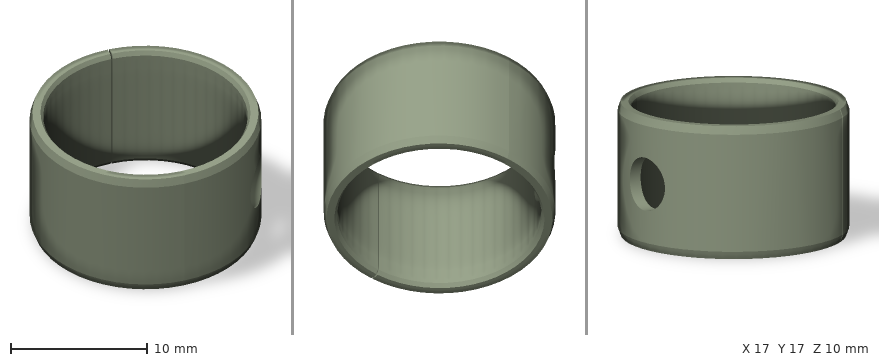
import cadquery as cq
import math

outer_diameter = 17.0
inner_diameter = 15.0
height = 10.0
outer_chamfer_height = 0.6
outer_chamfer_angle = 20.0
inner_chamfer_width = 0.2
inner_chamfer_height = 0.32
slit_width = 0.12
oil_hole_diameter = 4.0
oil_hole_angle = 59.0

outer_radius = outer_diameter / 2
inner_radius = inner_diameter / 2
half_height = height / 2
outer_chamfer_width = outer_chamfer_height * math.tan(math.radians(outer_chamfer_angle))


def make_sleeve():
    """Revolve the wall section, chamfered at both ends inside and out."""
    inner_chamfer_z = half_height - inner_chamfer_height
    outer_chamfer_z = half_height - outer_chamfer_height
    end_inner_radius = inner_radius + inner_chamfer_width
    end_outer_radius = outer_radius - outer_chamfer_width
    section = [
        (inner_radius, -inner_chamfer_z),
        (end_inner_radius, -half_height),
        (end_outer_radius, -half_height),
        (outer_radius, -outer_chamfer_z),
        (outer_radius, outer_chamfer_z),
        (end_outer_radius, half_height),
        (end_inner_radius, half_height),
        (inner_radius, inner_chamfer_z),
    ]
    return cq.Workplane("XZ").polyline(section).close().revolve(360, (0, 0), (0, 1))


def make_slit():
    """Full-height cut through the -X wall, with one face on the plane Y = 0."""
    slit = cq.Workplane("XY").box(outer_radius, slit_width, height)
    return slit.translate((-outer_radius, slit_width / 2, 0))


def make_oil_hole():
    """Radial cylinder from the axis outwards at mid-height."""
    hole = cq.Workplane("YZ").circle(oil_hole_diameter / 2).extrude(outer_diameter)
    return hole.rotate((0, 0, 0), (0, 0, 1), oil_hole_angle)


result = make_sleeve().cut(make_slit()).cut(make_oil_hole())